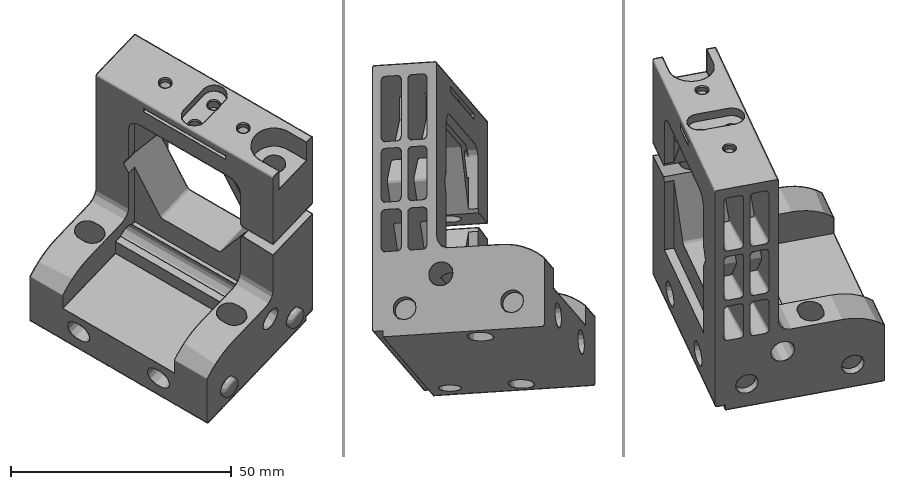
import cadquery as cq
import math

WIDTH = 50.0
DEPTH = 40.0
HEIGHT = 64
HALF_WIDTH = WIDTH / 2
EDGE_ROUND = 0.5

PLATE_THICKNESS = 15.0
PLATE_FRONT = DEPTH - PLATE_THICKNESS
PLATE_MID = DEPTH - PLATE_THICKNESS / 2
BASE_TOP = 20.0
INNER_FILLET = 3.0
NOSE_RADIUS = 15.0
NOSE_LENGTH = 10.0
NOSE_DROP = NOSE_RADIUS - math.sqrt(NOSE_RADIUS**2 - NOSE_LENGTH**2)
HEEL_DEPTH = 2.4
HEEL_HEIGHT = 1.4

RECESS_WIDTH = 31.5
RECESS_DEPTH = 2.25
RECESS_TOP = 55.05
RECESS_CORNER = 3.5
LEDGE_Z = 15.75
LEDGE_FRONT = DEPTH / 2
TROUGH_FLOOR = 11.5

BORE_Z = 38.0
BORE_HALF_HEIGHT = 15.5
BORE_SIDE_DISTANCE = 15.0
BORE_CORNER = 1.0
SLIT_TOP = 39.8
SLIT_BOTTOM = 36.4
SLIT_BOTTOM_OUTER = 36.0

COS30 = math.cos(math.radians(30))
TAN30 = math.tan(math.radians(30))

WINDOW_COLUMNS = [(PLATE_FRONT + 2.3, 4.4), (DEPTH - 6.7, 4.7)]
WINDOW_ROWS = [(20.0, 9.9), (31.7, 12.7), (45.95, 15.35)]
WINDOW_CORNER = 1.0
WINDOW_DRAFT = 3.3
WINDOW_WALL = 2.6
WINDOW_END_X = -10.5

RELIEF_WALL = 2.2
RELIEF_TOP = 53.9
RELIEF_BOTTOM = 47.7
RELIEF_TOP_INNER_ROUND = 1.55
RELIEF_TOP_OUTER_ROUND = 2.0
RELIEF_BOTTOM_ROUND = 0.5

CLAMP_X = 19.7
CLAMP_HOLE = 5.2
CLAMP_SEAT_WIDTH = 10.4
CLAMP_SEAT_Z = 57.5

DISC_RADIUS = 12.0
DISC_Y = PLATE_FRONT + 3.3
DISC_BOTTOM = 60.6
DISC_HEIGHT = 1.2

PAD_LENGTH = 13.3
PAD_WIDTH = 5.9
SCREW_HOLE = 2.6
SCREW_CHAMFER = 0.25
SCREW_DEPTH = 1.3
DRILL_TIP = SCREW_HOLE / 2 * TAN30
PAD_HOLE_OFFSET = 3.6
PAD_HOLE_DEPTH = 2.55
TOP_HOLE_X = 11.0

ROD_HOLE = 5.6
ROD_Y = 24.05
ROD_Z = 13.95
BOLT_SLOT_X = 20.0
BOLT_SLOT_Y = 16
BOLT_SLOT_LENGTH = 7.1
BOLT_SLOT_WIDTH = 5.7
LOW_Z = 6.4
FRONT_SLOT_X = 11.25
FRONT_SLOT_LENGTH = 6.2
FRONT_SLOT_WIDTH = 5.45
DOWEL_YS = [PLATE_MID - 25.0, PLATE_MID]
DOWEL_DIAMETER = 5.0
DOWEL_LENGTH = 1.8
DOWEL_ROUND = 0.95
SOCKET_DIAMETER = 5.25
SOCKET_DEPTH = 2.0


def block(x0, x1, y0, y1, z0, z1):
    return cq.Workplane("XY").box(x1 - x0, y1 - y0, z1 - z0, centered=False).translate((x0, y0, z0))


def upright_hole(x, y, diameter, bottom, top):
    return cq.Workplane("XY", origin=(x, y, bottom)).circle(diameter / 2).extrude(top - bottom)


def side_cylinder(y, z, diameter, x0, x1):
    return cq.Workplane("YZ", origin=(x0, y, z)).circle(diameter / 2).extrude(x1 - x0)


def through_plate(outline):
    """Prism of an X-Z outline running the full depth of the part."""
    return cq.Workplane("XZ").polyline(outline).close().extrude(-DEPTH)


def make_body():
    nose_z = BASE_TOP - NOSE_DROP
    half_angle = math.asin(NOSE_LENGTH / NOSE_RADIUS) / 2
    arc_y = NOSE_LENGTH - NOSE_RADIUS * math.sin(half_angle)
    arc_z = BASE_TOP - NOSE_RADIUS * (1 - math.cos(half_angle))
    body = (
        cq.Workplane("YZ", origin=(-HALF_WIDTH, 0, 0))
        .lineTo(DEPTH - HEEL_DEPTH, 0)
        .lineTo(DEPTH - HEEL_DEPTH, HEEL_HEIGHT)
        .lineTo(DEPTH, HEEL_HEIGHT)
        .lineTo(DEPTH, HEIGHT)
        .lineTo(PLATE_FRONT, HEIGHT)
        .lineTo(PLATE_FRONT, BASE_TOP)
        .lineTo(NOSE_LENGTH, BASE_TOP)
        .threePointArc((arc_y, arc_z), (0, nose_z))
        .close()
        .extrude(WIDTH)
    )
    rounded_edges = [
        (PLATE_FRONT, BASE_TOP, INNER_FILLET),
        (0, 0, EDGE_ROUND),
        (0, nose_z, EDGE_ROUND),
        (DEPTH, HEEL_HEIGHT, EDGE_ROUND),
        (DEPTH, HEIGHT, EDGE_ROUND),
        (PLATE_FRONT, HEIGHT, EDGE_ROUND),
    ]
    for y, z, radius in rounded_edges:
        body = body.edges(cq.NearestToPointSelector((0, y, z))).fillet(radius)
    return body


def make_recesses():
    half = RECESS_WIDTH / 2
    web_face = PLATE_FRONT + RECESS_DEPTH
    front = block(-half, half, 0, web_face, LEDGE_Z, RECESS_TOP)
    back = block(-half, half, DEPTH - RECESS_DEPTH, DEPTH, LEDGE_Z, RECESS_TOP)
    recesses = [pocket.edges("|Y and >Z").fillet(RECESS_CORNER) for pocket in (front, back)]
    trough = block(-half, half, 0, LEDGE_FRONT, TROUGH_FLOOR, BASE_TOP)
    return recesses[0].union(recesses[1]).union(trough)


def make_bore():
    tip = BORE_SIDE_DISTANCE / COS30
    flat = tip - BORE_HALF_HEIGHT * TAN30
    low = BORE_Z - BORE_HALF_HEIGHT
    high = BORE_Z + BORE_HALF_HEIGHT
    hexagon = [(-tip, BORE_Z), (-flat, high), (flat, high), (tip, BORE_Z), (flat, low), (-flat, low)]
    bore = through_plate(hexagon).edges("|Y").fillet(BORE_CORNER)
    mouth = tip - (BORE_Z - SLIT_BOTTOM) * TAN30
    slit = [
        (0, SLIT_TOP),
        (HALF_WIDTH, SLIT_TOP),
        (HALF_WIDTH, SLIT_BOTTOM_OUTER),
        (mouth, SLIT_BOTTOM),
        (0, SLIT_BOTTOM),
    ]
    return bore.union(through_plate(slit))


def make_windows():
    """Drafted windows from the left, stopped by a wall parallel to the bore."""
    tip = (BORE_SIDE_DISTANCE + WINDOW_WALL) / COS30
    rise = (tip + WINDOW_END_X) / TAN30
    limit = through_plate(
        [
            (-HALF_WIDTH, 0),
            (WINDOW_END_X, 0),
            (WINDOW_END_X, BORE_Z - rise),
            (-tip, BORE_Z),
            (WINDOW_END_X, BORE_Z + rise),
            (WINDOW_END_X, HEIGHT),
            (-HALF_WIDTH, HEIGHT),
        ]
    )
    limit = limit.edges(cq.NearestToPointSelector((-tip, DEPTH / 2, BORE_Z))).fillet(BORE_CORNER)
    windows = cq.Workplane("XY")
    for y, width in WINDOW_COLUMNS:
        for z, height in WINDOW_ROWS:
            window = (
                cq.Workplane("YZ", origin=(-HALF_WIDTH, y + width / 2, z + height / 2))
                .sketch()
                .rect(width, height)
                .vertices()
                .fillet(WINDOW_CORNER)
                .finalize()
                .extrude(HALF_WIDTH + WINDOW_END_X, taper=WINDOW_DRAFT)
            )
            windows = windows.union(window)
    return windows.intersect(limit)


def make_relief():
    tip = (BORE_SIDE_DISTANCE + RELIEF_WALL) / COS30
    right = RECESS_WIDTH / 2
    corners = [
        (right, RELIEF_TOP, RELIEF_TOP_OUTER_ROUND),
        (tip - (RELIEF_TOP - BORE_Z) * TAN30, RELIEF_TOP, RELIEF_TOP_INNER_ROUND),
        (tip - (RELIEF_BOTTOM - BORE_Z) * TAN30, RELIEF_BOTTOM, RELIEF_BOTTOM_ROUND),
        (right, RELIEF_BOTTOM, RELIEF_BOTTOM_ROUND),
    ]
    relief = through_plate([(x, z) for x, z, _ in corners])
    for x, z, radius in corners:
        relief = relief.edges(cq.NearestToPointSelector((x, DEPTH / 2, z))).fillet(radius)
    return relief


def make_clamp_screw():
    seat_radius = CLAMP_SEAT_WIDTH / 2
    hole = upright_hole(CLAMP_X, PLATE_MID, CLAMP_HOLE, 0, HEIGHT)
    seat = upright_hole(CLAMP_X, PLATE_MID, CLAMP_SEAT_WIDTH, CLAMP_SEAT_Z, HEIGHT)
    mouth = block(
        CLAMP_X, HALF_WIDTH, PLATE_MID - seat_radius, PLATE_MID + seat_radius, CLAMP_SEAT_Z, HEIGHT
    )
    return hole.union(seat).union(mouth)


def chamfered_hole(x, y, top, depth):
    hole = upright_hole(x, y, SCREW_HOLE, top - depth, top)
    mouth = cq.Solid.makeCone(
        SCREW_HOLE / 2, SCREW_HOLE / 2 + SCREW_CHAMFER, SCREW_CHAMFER, cq.Vector(x, y, top - SCREW_CHAMFER)
    )
    return hole.union(cq.Workplane(mouth))


def make_top_features():
    cuts = upright_hole(0, DISC_Y, 2 * DISC_RADIUS, DISC_BOTTOM, DISC_BOTTOM + DISC_HEIGHT)
    pad = cq.Workplane("XY", origin=(0, PLATE_MID, DISC_BOTTOM)).slot2D(PAD_LENGTH, PAD_WIDTH, 90)
    cuts = cuts.union(pad.extrude(HEIGHT - DISC_BOTTOM))
    for side in (-1, 1):
        y = PLATE_MID + side * PAD_HOLE_OFFSET
        cuts = cuts.union(chamfered_hole(0, y, DISC_BOTTOM, PAD_HOLE_DEPTH))
        x = side * TOP_HOLE_X
        cuts = cuts.union(chamfered_hole(x, PLATE_MID, HEIGHT, SCREW_DEPTH))
        tip = cq.Solid.makeCone(
            0, SCREW_HOLE / 2, DRILL_TIP, cq.Vector(x, PLATE_MID, HEIGHT - SCREW_DEPTH - DRILL_TIP)
        )
        cuts = cuts.union(cq.Workplane(tip))
    return cuts


def make_base_holes():
    cuts = side_cylinder(ROD_Y, ROD_Z, ROD_HOLE, -HALF_WIDTH, HALF_WIDTH)
    bolt_slots = (
        cq.Workplane("XY")
        .pushPoints([(-BOLT_SLOT_X, BOLT_SLOT_Y), (BOLT_SLOT_X, BOLT_SLOT_Y)])
        .slot2D(BOLT_SLOT_LENGTH, BOLT_SLOT_WIDTH)
        .extrude(HEIGHT)
    )
    front_slots = (
        cq.Workplane("XZ")
        .pushPoints([(-FRONT_SLOT_X, LOW_Z), (FRONT_SLOT_X, LOW_Z)])
        .slot2D(FRONT_SLOT_LENGTH, FRONT_SLOT_WIDTH)
        .extrude(-DEPTH)
    )
    cuts = cuts.union(bolt_slots).union(front_slots)
    for y in DOWEL_YS:
        cuts = cuts.union(
            side_cylinder(y, LOW_Z, SOCKET_DIAMETER, -HALF_WIDTH, SOCKET_DEPTH - HALF_WIDTH)
        )
    return cuts


result = make_body()
for cut in (
    make_recesses(),
    make_bore(),
    make_windows(),
    make_relief(),
    make_clamp_screw(),
    make_top_features(),
    make_base_holes(),
):
    result = result.cut(cut)
for dowel_y in DOWEL_YS:
    dowel = side_cylinder(dowel_y, LOW_Z, DOWEL_DIAMETER, HALF_WIDTH, HALF_WIDTH + DOWEL_LENGTH)
    result = result.union(dowel.faces(">X").edges().fillet(DOWEL_ROUND))